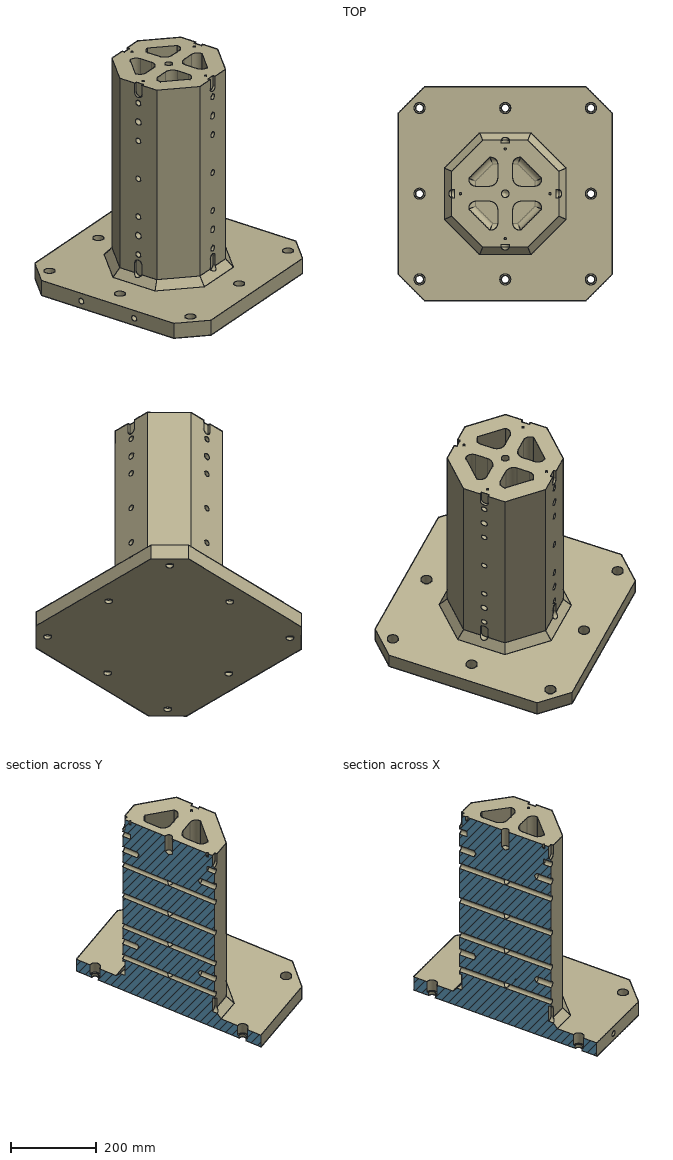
import cadquery as cq
import math

total_height = 560.0

base_side = 500.0
base_thickness = 40.0
base_corner_cut = 62.0

column_width = 250.0
column_diagonal_width = 251.0
foot_flare = 17.5
foot_height = 20.0

mount_spacing = 200.0
mount_diameter = 18.0
mount_counterbore_diameter = 26.0
mount_counterbore_depth = 30.0

edge_hole_offset = 75.0
edge_hole_height = 19.0
edge_hole_diameter = 14.0
edge_hole_depth = 40.0

hole_row_middle = 310.0
hole_pitch = mount_spacing / 4
face_hole_diameter = 14.0
through_steps = (-4, -2, 0, 2)
drilled_diameter = 16.0
drilled_depth = 40.0
drilled_steps = (-3, 3)
dowel_depth = 20.0
dowel_step = 4

slot_width = 20.0
slot_length = 43.0
slot_depth = 6.0
slot_offset = 236.5

center_hole_diameter = 18.0
center_hole_depth = 50.0
pin_hole_diameter = 5.0
pin_hole_depth = 10.0
pin_hole_radius = 105.0
drill_point_angle = 118.0

rib_width = 35.0
pocket_reach = 85.0
pocket_diagonal_sum = 121.0
pocket_inner_corner_radius = 20.0
pocket_outer_corner_radius = 17.0
pocket_floor_radius = 15.5
pocket_depth = total_height - base_thickness

QUARTER_TURNS = (0, 90, 180, 270)


def octagon(outward_offset, z):
    """Octagonal wire of the column outline at height z, with every side moved outward."""
    side = column_width / 2 + outward_offset
    diagonal_side = column_diagonal_width / 2 + outward_offset
    corner = math.sqrt(2) * diagonal_side - side
    points = [
        (side, corner), (corner, side), (-corner, side), (-side, corner),
        (-side, -corner), (-corner, -side), (corner, -side), (side, -corner),
    ]
    return cq.Workplane("XY", origin=(0, 0, z)).polyline(points).close()


def around_z(solid, angle):
    """Copy of a solid turned about the vertical axis."""
    return solid.rotate((0, 0, 0), (0, 0, 1), angle)


def drill(diameter, depth):
    """Drill shape from the origin down to a conical tip below its full depth."""
    radius = diameter / 2
    tip = radius / math.tan(math.radians(drill_point_angle / 2))
    profile = [(0, 0), (radius, 0), (radius, -depth), (0, -depth - tip)]
    return cq.Workplane("XZ").polyline(profile).close().revolve(360, (0, 0, 0), (0, 1, 0))


def front_drill(diameter, depth, x, face_y, z):
    """Drill shape entering a face at face_y and pointing toward +Y."""
    return drill(diameter, depth).rotate((0, 0, 0), (1, 0, 0), 90).translate((x, face_y, z))


def make_base():
    """Base plate with its mounting holes and front edge holes."""
    base = cq.Workplane("XY").box(base_side, base_side, base_thickness, centered=(True, True, False))
    base = base.edges("|Z").chamfer(base_corner_cut)
    steps = (-mount_spacing, 0, mount_spacing)
    mounts = [(x, y) for x in steps for y in steps if (x, y) != (0, 0)]
    base_top = base.faces(">Z").workplane().pushPoints(mounts)
    base = base_top.cboreHole(mount_diameter, mount_counterbore_diameter, mount_counterbore_depth)
    for x in (-edge_hole_offset, edge_hole_offset):
        edge_hole = front_drill(edge_hole_diameter, edge_hole_depth, x, -base_side / 2, edge_hole_height)
        base = base.cut(edge_hole)
    return base


def make_column():
    """Octagonal column standing on its tapered foot."""
    column = octagon(0, base_thickness).extrude(total_height - base_thickness)
    foot_bottom = octagon(foot_flare, base_thickness).val()
    foot_top = octagon(0, base_thickness + foot_height).val()
    foot = cq.Workplane(cq.Solid.makeLoft([foot_bottom, foot_top], True))
    return column.union(foot)


def make_pocket():
    """Pocket in the +X +Y quadrant, with its floor rounded along the three outer sides."""
    near = rib_width / 2
    far = pocket_reach
    bevel_start = pocket_diagonal_sum - far
    outline = [(near, near), (far, near), (far, bevel_start), (bevel_start, far), (near, far)]
    floor = cq.Workplane("XY", origin=(0, 0, total_height - pocket_depth))
    prism = floor.polyline(outline).close().extrude(pocket_depth)
    outer_floor_edges = prism.faces("<Z").edges(">X or >Y or >(1, 1, 0)")
    rounded_floor = outer_floor_edges.fillet(pocket_floor_radius)
    square = floor.moveTo(near, near).lineTo(far, near).lineTo(far, far).lineTo(near, far).close()
    inner_edge = cq.selectors.NearestToPointSelector((near, near, total_height - pocket_depth / 2))
    rounded_walls = square.extrude(pocket_depth).edges(inner_edge).fillet(pocket_inner_corner_radius)
    outer_edges = rounded_walls.edges("|Z and (>X or >Y)")
    rounded_walls = outer_edges.fillet(pocket_outer_corner_radius)
    return rounded_floor.intersect(rounded_walls)


def make_face_cuts():
    """Holes and key slots of the -Y column face."""
    face_y = -column_width / 2
    face = cq.Workplane("XZ", origin=(0, face_y, hole_row_middle))
    through_points = [(0, step * hole_pitch) for step in through_steps]
    cuts = face.pushPoints(through_points).circle(face_hole_diameter / 2).extrude(-column_width)
    dowel = face.center(0, dowel_step * hole_pitch).circle(face_hole_diameter / 2).extrude(-dowel_depth)
    cuts = cuts.union(dowel)
    for step in drilled_steps:
        z = hole_row_middle + step * hole_pitch
        cuts = cuts.union(front_drill(drilled_diameter, drilled_depth, 0, face_y, z))
    slots = (
        face.workplane(offset=-slot_depth)
        .pushPoints([(0, -slot_offset), (0, slot_offset)])
        .slot2D(slot_length, slot_width, 90)
        .extrude(slot_depth + foot_flare)
    )
    return cuts.union(slots)


result = make_base().union(make_column())
result = result.cut(drill(center_hole_diameter, center_hole_depth).translate((0, 0, total_height)))

pocket = make_pocket()
face_cuts = make_face_cuts()
pin_hole = drill(pin_hole_diameter, pin_hole_depth).translate((pin_hole_radius, 0, total_height))
for angle in QUARTER_TURNS:
    for cutter in (pocket, face_cuts, pin_hole):
        result = result.cut(around_z(cutter, angle))